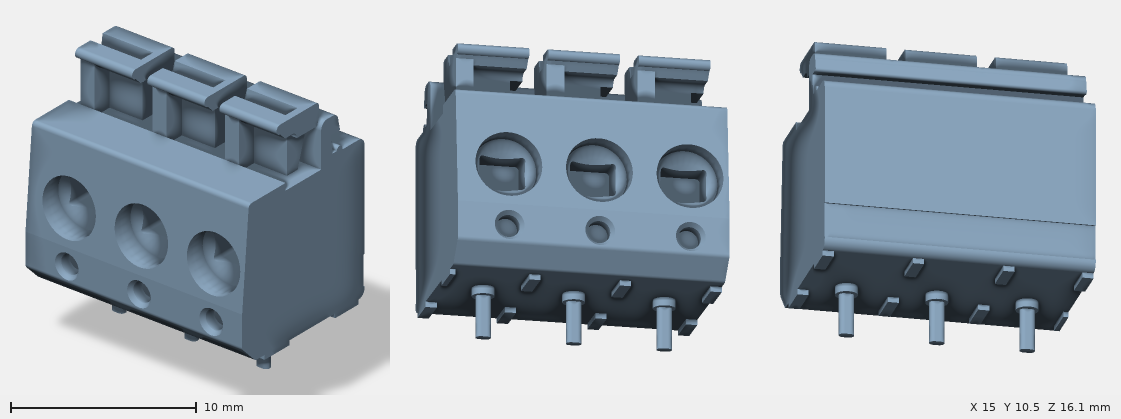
import cadquery as cq
import math


POLES = 3
PITCH = 5.0
WIDTH = POLES * PITCH

DEPTH = 10.5
TOP_Z = 9.78
FRONT_BEND_Z = 3.28
FRONT_TOP_Y = 0.57
FRONT_TOP_FILLET = 0.28
FRONT_CHAMFER = 1.14
FRONT_CHAMFER_FILLET = 0.3
BACK_CORNER_RADIUS = 0.5
BACK_RECESS_DEPTH = 0.1
BACK_RECESS_Y = DEPTH - BACK_RECESS_DEPTH
BACK_RECESS_BOTTOM_Z = 0.6
BACK_RECESS_TOP_Z = 2.58

CHANNEL_FRONT_Y = 3.72
CHANNEL_BACK_Y = 6.78
CHANNEL_Z = 9.31

RAIL_TOP_Z = 12.19
RAIL_FRONT_RADIUS = 0.5
RAIL_BACK_RADIUS = 0.45
HOOK_BACK_Y = 8.25
HOOK_TIP_Y = 8.38
HOOK_TIP_Z = 11.16
HOOK_LIP_RADIUS = 0.17
HOOK_UNDERSIDE_Z = 11.08
GROOVE_TOP_Y = 7.58
GROOVE_BOTTOM_Y = 7.75
GROOVE_Z = 9.88
NUB_Y = 8.36
NUB_RADIUS = 0.23

FOOT_WIDTH = 0.62
FOOT_HEIGHT = 0.3
FRONT_FOOT_Y = (1.93, 4.07)
BACK_FOOT_Y = (7.98, 10.0)
FRONT_END_FOOT_WIDTH = 0.29

ENTRY_X = 2.86
ENTRY_Z = 5.59
ENTRY_RADIUS = 1.85
ENTRY_THROAT_RADIUS = 1.8
ENTRY_THROAT_Y = 1.5
FUNNEL_END_RADIUS = 0.85
FUNNEL_DEPTH = 0.76
FUNNEL_END_Y = ENTRY_THROAT_Y + FUNNEL_DEPTH
CLAMP_WIDTH = 2.52
CLAMP_HEIGHT = 1.8
CLAMP_CORNER_RADIUS = 0.2
CLAMP_END_Y = 3.5

PROBE_Z = 2.11
PROBE_RADIUS = 0.82
PROBE_FLOOR_RADIUS = 0.62
PROBE_TAPER_DEPTH = 0.3
PROBE_DEPTH = 1.0

LEVER_X = 0.75
LEVER_WIDTH = 3.95
LEVER_TOP_Z = 13.29
LEVER_FRONT_Y = 3.79
LEVER_FOOT_BACK_Y = 5.99
LEVER_BACK_Y = 6.97
LEVER_BACK_BEND_Z = 12.39
LEVER_BACK_FILLET = 0.26
NOSE_RADIUS = 0.3
NOSE_CENTRE_Y = 3.62
LEVER_RIB_WIDTH = 0.97
LEVER_STEM_WIDTH = 3.26
STEM_SETBACK = 1.29
UNDERSIDE_Z = 12.26
UNDERSIDE_RADIUS = 0.4
LEVER_SLOT_LENGTH = 3.5
LEVER_SLOT_DEPTH = 0.7
LEVER_SLOT_Y = 5.17
LEVER_SLOT_TOP_WIDTH = 1.04
LEVER_SLOT_FLOOR_WIDTH = 0.82

PIN_X = 2.5
PIN_Y = 4.96
PIN_LENGTH = 0.83
PIN_WIDTH = 0.55
PIN_FLAT = 0.3
OVERALL_HEIGHT = 16.09
PIN_BOTTOM_Z = LEVER_TOP_Z - OVERALL_HEIGHT
COLLAR_RADIUS = 0.62
COLLAR_HEIGHT = 0.47

DIAGONAL = math.sqrt(0.5)


def housing_body():
    """Housing section with the channel and hooked rail, run along the whole row."""
    rail_front_y = CHANNEL_BACK_Y + RAIL_FRONT_RADIUS
    rail_back_y = HOOK_BACK_Y - RAIL_BACK_RADIUS
    lip_y = HOOK_TIP_Y - HOOK_LIP_RADIUS
    corner_centre_y = DEPTH - BACK_CORNER_RADIUS
    corner_reach = BACK_CORNER_RADIUS * DIAGONAL
    section = (
        cq.Workplane("YZ")
        .moveTo(FRONT_CHAMFER, 0)
        .lineTo(0, FRONT_CHAMFER)
        .lineTo(0, FRONT_BEND_Z)
        .lineTo(FRONT_TOP_Y, TOP_Z)
        .lineTo(CHANNEL_FRONT_Y, TOP_Z)
        .lineTo(CHANNEL_FRONT_Y, CHANNEL_Z)
        .lineTo(CHANNEL_BACK_Y, CHANNEL_Z)
        .lineTo(CHANNEL_BACK_Y, RAIL_TOP_Z - RAIL_FRONT_RADIUS)
        .tangentArcPoint((rail_front_y, RAIL_TOP_Z), relative=False)
        .lineTo(rail_back_y, RAIL_TOP_Z)
        .tangentArcPoint((HOOK_BACK_Y, RAIL_TOP_Z - RAIL_BACK_RADIUS), relative=False)
        .lineTo(HOOK_TIP_Y, HOOK_TIP_Z)
        .tangentArcPoint((lip_y, HOOK_TIP_Z - HOOK_LIP_RADIUS), relative=False)
        .lineTo(lip_y - HOOK_LIP_RADIUS, HOOK_UNDERSIDE_Z)
        .lineTo(GROOVE_TOP_Y, HOOK_UNDERSIDE_Z)
        .lineTo(GROOVE_BOTTOM_Y, GROOVE_Z)
        .lineTo(NUB_Y - NUB_RADIUS, GROOVE_Z)
        .threePointArc((NUB_Y, GROOVE_Z + NUB_RADIUS), (NUB_Y + NUB_RADIUS, GROOVE_Z))
        .lineTo(NUB_Y + NUB_RADIUS, TOP_Z)
        .lineTo(corner_centre_y, TOP_Z)
        .threePointArc(
            (corner_centre_y + corner_reach, TOP_Z - BACK_CORNER_RADIUS + corner_reach),
            (DEPTH, TOP_Z - BACK_CORNER_RADIUS),
        )
        .lineTo(DEPTH, BACK_RECESS_TOP_Z)
        .lineTo(BACK_RECESS_Y, BACK_RECESS_TOP_Z)
        .lineTo(BACK_RECESS_Y, BACK_RECESS_BOTTOM_Z)
        .lineTo(DEPTH, BACK_RECESS_BOTTOM_Z)
        .lineTo(DEPTH, BACK_CORNER_RADIUS)
        .threePointArc(
            (corner_centre_y + corner_reach, BACK_CORNER_RADIUS - corner_reach),
            (corner_centre_y, 0),
        )
        .close()
    )
    body = section.extrude(WIDTH)
    rounded_edges = [
        (FRONT_TOP_Y, TOP_Z, FRONT_TOP_FILLET),
        (0, FRONT_CHAMFER, FRONT_CHAMFER_FILLET),
        (FRONT_CHAMFER, 0, FRONT_CHAMFER_FILLET),
    ]
    for y, z, radius in rounded_edges:
        edge = cq.selectors.NearestToPointSelector((WIDTH / 2, y, z))
        body = body.edges(edge).fillet(radius)
    return body


def foot(x, width, y_range):
    """Foot block under the housing, starting at x."""
    front, back = y_range
    block = cq.Workplane("XY").box(width, back - front, FOOT_HEIGHT, centered=False)
    return block.translate((x, front, -FOOT_HEIGHT))


def round_bore(x, z, stations):
    """Stepped or tapered round bore along Y; stations lists (y, radius) from the front inward."""
    start_y = stations[0][0]
    end_y = stations[-1][0]
    profile = cq.Workplane("YZ").polyline([(start_y, 0), *stations, (end_y, 0)]).close()
    return profile.revolve(360, (0, 0), (1, 0)).translate((x, 0, z))


def wire_entry(x):
    """Round entry, funnel and rectangular clamp opening of one pole."""
    funnel = round_bore(
        x,
        ENTRY_Z,
        [(0, ENTRY_RADIUS), (ENTRY_THROAT_Y, ENTRY_THROAT_RADIUS), (FUNNEL_END_Y, FUNNEL_END_RADIUS)],
    )
    clamp_length = CLAMP_END_Y - ENTRY_THROAT_Y
    clamp = (
        cq.Workplane("XY")
        .box(CLAMP_WIDTH, clamp_length, CLAMP_HEIGHT)
        .edges("|Y")
        .fillet(CLAMP_CORNER_RADIUS)
        .translate((x, ENTRY_THROAT_Y + clamp_length / 2, ENTRY_Z))
    )
    return funnel.union(clamp)


def probe_hole(x):
    """Test-probe hole of one pole, tapered at its mouth."""
    return round_bore(
        x,
        PROBE_Z,
        [(0, PROBE_RADIUS), (PROBE_TAPER_DEPTH, PROBE_FLOOR_RADIUS), (PROBE_DEPTH, PROBE_FLOOR_RADIUS)],
    )


def make_housing():
    housing = housing_body()
    housing = housing.union(foot(0, FRONT_END_FOOT_WIDTH, FRONT_FOOT_Y))
    housing = housing.union(foot(0, FOOT_WIDTH, BACK_FOOT_Y))
    for pole in range(POLES):
        foot_x = (pole + 1) * PITCH - FOOT_WIDTH
        for y_range in (FRONT_FOOT_Y, BACK_FOOT_Y):
            housing = housing.union(foot(foot_x, FOOT_WIDTH, y_range))
        entry_x = ENTRY_X + pole * PITCH
        housing = housing.cut(wire_entry(entry_x)).cut(probe_hole(entry_x))
    return housing


def make_lever(x):
    """Push lever standing on the channel floor, with its left side at x."""
    nose_centre_z = LEVER_TOP_Z - NOSE_RADIUS
    neck_z = nose_centre_z - NOSE_RADIUS
    lever = (
        cq.Workplane("YZ")
        .moveTo(LEVER_FOOT_BACK_Y, CHANNEL_Z)
        .lineTo(LEVER_FRONT_Y, CHANNEL_Z)
        .lineTo(LEVER_FRONT_Y, neck_z - (LEVER_FRONT_Y - NOSE_CENTRE_Y))
        .lineTo(NOSE_CENTRE_Y, neck_z)
        .threePointArc((NOSE_CENTRE_Y - NOSE_RADIUS, nose_centre_z), (NOSE_CENTRE_Y, LEVER_TOP_Z))
        .lineTo(LEVER_BACK_Y - LEVER_BACK_FILLET, LEVER_TOP_Z)
        .tangentArcPoint((LEVER_BACK_Y, LEVER_TOP_Z - LEVER_BACK_FILLET), relative=False)
        .lineTo(LEVER_BACK_Y, LEVER_BACK_BEND_Z)
        .close()
        .extrude(LEVER_WIDTH)
    )
    setback_y = LEVER_FRONT_Y + STEM_SETBACK
    underside_end_z = UNDERSIDE_Z - UNDERSIDE_RADIUS
    setback = (
        cq.Workplane("YZ", origin=(LEVER_RIB_WIDTH, 0, 0))
        .moveTo(NOSE_CENTRE_Y, CHANNEL_Z)
        .lineTo(setback_y, CHANNEL_Z)
        .lineTo(setback_y, underside_end_z)
        .tangentArcPoint((setback_y - UNDERSIDE_RADIUS, UNDERSIDE_Z), relative=False)
        .lineTo(NOSE_CENTRE_Y + neck_z - UNDERSIDE_Z, UNDERSIDE_Z)
        .lineTo(NOSE_CENTRE_Y, neck_z)
        .close()
        .extrude(LEVER_WIDTH - LEVER_RIB_WIDTH)
    )
    right_relief = (
        cq.Workplane("XY")
        .box(LEVER_WIDTH - LEVER_STEM_WIDTH, DEPTH, underside_end_z - CHANNEL_Z, centered=False)
        .translate((LEVER_STEM_WIDTH, 0, CHANNEL_Z))
    )
    slot_floor_z = LEVER_TOP_Z - LEVER_SLOT_DEPTH
    top_slot = (
        cq.Workplane("YZ")
        .moveTo(LEVER_SLOT_Y - LEVER_SLOT_TOP_WIDTH / 2, LEVER_TOP_Z)
        .lineTo(LEVER_SLOT_Y - LEVER_SLOT_FLOOR_WIDTH / 2, slot_floor_z)
        .lineTo(LEVER_SLOT_Y + LEVER_SLOT_FLOOR_WIDTH / 2, slot_floor_z)
        .lineTo(LEVER_SLOT_Y + LEVER_SLOT_TOP_WIDTH / 2, LEVER_TOP_Z)
        .close()
        .extrude(LEVER_SLOT_LENGTH)
    )
    return lever.cut(setback).cut(right_relief).cut(top_slot).translate((x, 0, 0))


def make_pin(x):
    """Solder pin: a bar with rounded, trimmed ends and a round collar against the housing bottom."""
    collar = cq.Workplane("XY").circle(COLLAR_RADIUS).extrude(-COLLAR_HEIGHT)
    rounded_bar = cq.Workplane("XY").slot2D(PIN_FLAT + PIN_WIDTH, PIN_WIDTH).extrude(PIN_BOTTOM_Z)
    end_trim = cq.Workplane("XY").rect(PIN_LENGTH, PIN_WIDTH).extrude(PIN_BOTTOM_Z)
    shank = rounded_bar.intersect(end_trim)
    return collar.union(shank).translate((x, PIN_Y, 0))


housing = make_housing()
levers = [make_lever(LEVER_X + pole * PITCH) for pole in range(POLES)]
pins = [make_pin(PIN_X + pole * PITCH) for pole in range(POLES)]

bodies = [housing, *levers, *pins]
result = cq.Compound.makeCompound([body.val() for body in bodies])